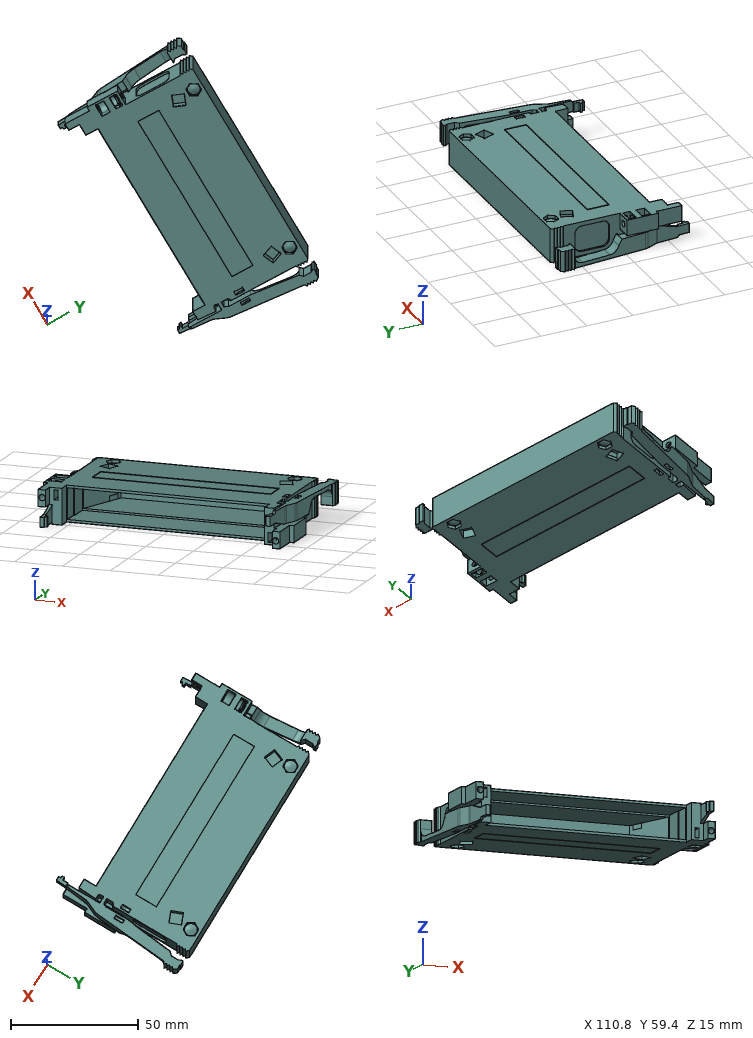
import cadquery as cq
import math


HEIGHT = 15.0
TOP = HEIGHT / 2
PLATE_LENGTH = 44.7
CHEEK_LENGTH = 50.2
SIDE = 45.8

REAR_CHAMFER = 1.1
GRIP_PITCH = 1.3
GRIP_DEPTH = 0.8
GRIP_TEETH = 4
CHEEK_INNER = 42.4
CHEEK_OUTER_REAR = 46.8
CHEEK_OUTER_FRONT = 46.4
HINGE_POCKET_X = 44.5
HINGE_POCKET_REAR = 35.1
HINGE_POCKET_FRONT = 42.2
POCKET_CORNER = 0.5

MOUTH_HALF_WIDTH = 42.1
MOUTH_HALF_HEIGHT = 6.4
MOUTH_DEPTH = 15.5
MOUTH_WIDE_DEPTH = 6.6
CAVITY_HALF_WIDTH = 41.6
CAVITY_HALF_HEIGHT = 5.6
CAVITY_REAR = 8.6
CAVITY_REAR_HALF_WIDTH = 33.0
CAVITY_TAPER = 21.5

LABEL_HALF_WIDTH = 37.3
LABEL_REAR = 20.2
LABEL_FRONT = 29.6
LABEL_DEPTH = 0.2
HEX_X = 38.0
HEX_Y = 4.0
HEX_ACROSS_CORNERS = 6.0
HEX_DEPTH = 1.4
DOME_DIAMETER = 5.0
DOME_HEIGHT = 0.9
SQUARE_X = 37.1
SQUARE_Y = 11.3
SQUARE_SIZE = 5.0
SQUARE_DEPTH = 3.8
SIDE_PANEL_REAR = 10.6
SIDE_PANEL_FRONT = 25.7
SIDE_PANEL_HALF_HEIGHT = 5.6
SIDE_PANEL_RADIUS = 3.1
SIDE_PANEL_DEPTH = 0.9

EAR_TOP = -0.5
HINGE_POCKET_FLOOR = 0.0
EAR_REAR = 30.2
EAR_OUTER = 52.4
EAR_SHOULDER = 44.0
EAR_TONGUE_INNER = 47.5
EAR_TONGUE_OUTER = 50.6
EAR_FRONT = 54.9
SCREW_X = 48.8
SCREW_Z = -4.3
SCREW_DIAMETER = 2.5
SCREW_BORE_DIAMETER = 5.0
SCREW_POCKET_WIDTH = 5.3
SCREW_POCKETS = (
    (31.5, 32.3, 2.7),
    (32.8, 33.4, 2.7),
    (33.4, 34.4, 2.4),
    (37.1, 40.8, 2.7),
)
SCREW_RIB_DROP = 1.1
CATCH_INNER = 44.0
CATCH_OUTER = 45.6
CATCH_DEPTH = 4.4

LEVER_BOTTOM = 0.2
LEVER_INNER = 47.5
LEVER_OUTER = 55.4
HINGE_WEB_REAR = 38.5
HINGE_WEB_FRONT = 40.0
HINGE_WEB_OVERLAP = 0.5
HINGE_FLARE_WIDTH = 0.8
HINGE_FLARE_LENGTH = 1.5
LATCH_BOTTOM = 2.5
LATCH_TOP = 6.5
LATCH_TAPER_START = 46.0
LATCH_TAPER_END = 53.5
LATCH_TIP = 59.4
LATCH_STEP_LENGTH = 0.9
LATCH_INNER = 46.8
LATCH_TIP_INNER = 46.5
HOOK_TIP = 45.6
HOOK_REAR = 57.3
HOOK_FRONT = 58.1
HOOK_ROOT_FRONT = 58.5
FINGER_PAD_LENGTH = 6.4
FINGER_PAD_BOTTOM = -1.4
FINGER_BAR_BOTTOM = 5.8
FINGER_HOLLOW_RADIUS = 3.5
FINGER_RAMP_START = 22.4
FINGER_RAMP_MIDDLE = (26.5, 2.7)
FINGER_RAMP_END = 27.9
LEVER_GRIP_START = 1.8

PIN_SLOT_CENTRE = 30.1
PIN_SLOT_DIAMETER = 3.9
HOOD_PIN_SLOT = (43.3, 44.8)
LEVER_TOP_PIN_SLOT = (48.4, 49.7)
LEVER_LOWER_PIN_SLOT = (LEVER_INNER, 48.7)


def box(x0, x1, y0, y1, z0, z1):
    """Box between two opposite corners."""
    return cq.Workplane("XY").box(x1 - x0, y1 - y0, z1 - z0, centered=False).translate((x0, y0, z0))


def prism(points, z0, z1):
    """Plan outline extruded between two heights."""
    return cq.Workplane("XY").workplane(offset=z0).polyline(points).close().extrude(z1 - z0)


def half_turn(shape):
    """Copy of a shape turned by 180 degrees about the Y axis."""
    return shape.rotate((0, 0, 0), (0, 1, 0), 180)


def mirrored_outline(right_side):
    """Full plan outline from its +X side."""
    return right_side + [(-x, y) for x, y in reversed(right_side)]


def grip_teeth(tip_x, start_y):
    """Zigzag of pointed teeth running along y from a first tip."""
    points = []
    for tooth in range(GRIP_TEETH):
        tip_y = start_y + tooth * GRIP_PITCH
        points.append((tip_x, tip_y))
        points.append((tip_x - GRIP_DEPTH, tip_y + GRIP_PITCH / 2))
    return points


def hood_blank():
    """Solid hood with grips, hinge pockets and cheeks, before hollowing."""
    grip_tip = SIDE + GRIP_DEPTH
    corner = POCKET_CORNER
    side = [(grip_tip - REAR_CHAMFER, 0)]
    side += grip_teeth(grip_tip, REAR_CHAMFER)
    side += [
        (SIDE, HINGE_POCKET_REAR),
        (HINGE_POCKET_X + corner, HINGE_POCKET_REAR),
        (HINGE_POCKET_X, HINGE_POCKET_REAR + corner),
        (HINGE_POCKET_X, HINGE_POCKET_FRONT - corner),
        (HINGE_POCKET_X + corner, HINGE_POCKET_FRONT),
        (CHEEK_OUTER_REAR, HINGE_POCKET_FRONT),
        (CHEEK_OUTER_FRONT, CHEEK_LENGTH),
        (CHEEK_INNER, CHEEK_LENGTH),
        (CHEEK_INNER, PLATE_LENGTH),
    ]
    return prism(mirrored_outline(side), -TOP, TOP)


def cavity():
    """Hollow that narrows towards the rear, with a larger stretch at the mouth."""
    taper_length = (CAVITY_HALF_WIDTH - CAVITY_REAR_HALF_WIDTH) / math.tan(math.radians(CAVITY_TAPER))
    side = [
        (CAVITY_REAR_HALF_WIDTH, CAVITY_REAR),
        (CAVITY_HALF_WIDTH, CAVITY_REAR + taper_length),
        (CAVITY_HALF_WIDTH, PLATE_LENGTH),
    ]
    inside = prism(mirrored_outline(side), -CAVITY_HALF_HEIGHT, CAVITY_HALF_HEIGHT)
    tall = box(-CAVITY_HALF_WIDTH, CAVITY_HALF_WIDTH, PLATE_LENGTH - MOUTH_DEPTH, PLATE_LENGTH,
               -MOUTH_HALF_HEIGHT, MOUTH_HALF_HEIGHT)
    wide = box(-MOUTH_HALF_WIDTH, MOUTH_HALF_WIDTH, PLATE_LENGTH - MOUTH_WIDE_DEPTH, PLATE_LENGTH,
               -MOUTH_HALF_HEIGHT, MOUTH_HALF_HEIGHT)
    return inside.union(tall).union(wide)


def plate_recesses():
    """Label panel, domed hexagons and tilted squares sunk into the upper plate."""
    cuts = box(-LABEL_HALF_WIDTH, LABEL_HALF_WIDTH, LABEL_REAR, LABEL_FRONT, TOP - LABEL_DEPTH, TOP)
    for sign in (-1, 1):
        floor = TOP - HEX_DEPTH
        hexagon = cq.Workplane("XY").polygon(6, HEX_ACROSS_CORNERS).extrude(HEX_DEPTH).translate((0, 0, floor))
        dome = cq.Solid.makeCone(DOME_DIAMETER / 2, 0, DOME_HEIGHT, cq.Vector(0, 0, floor))
        cuts = cuts.union(hexagon.cut(cq.Workplane(dome)).translate((sign * HEX_X, HEX_Y, 0)))
        square = cq.Workplane("XY").rect(SQUARE_SIZE, SQUARE_SIZE).extrude(SQUARE_DEPTH)
        square = square.rotate((0, 0, 0), (0, 0, 1), -sign * CAVITY_TAPER)
        cuts = cuts.union(square.translate((sign * SQUARE_X, SQUARE_Y, TOP - SQUARE_DEPTH)))
    return cuts


def side_panel():
    """Shallow rounded recess in the hood side behind the lever finger bar."""
    panel = box(SIDE - SIDE_PANEL_DEPTH, SIDE, SIDE_PANEL_REAR, SIDE_PANEL_FRONT,
                -SIDE_PANEL_HALF_HEIGHT, SIDE_PANEL_HALF_HEIGHT)
    return panel.edges("|X").fillet(SIDE_PANEL_RADIUS)


def pin_slot(x_range, z):
    """Disc-shaped cutter across X."""
    x0, x1 = x_range
    disc = cq.Workplane("YZ").circle(PIN_SLOT_DIAMETER / 2).extrude(x1 - x0)
    return disc.translate((x0, PIN_SLOT_CENTRE, z))


def screw_ear():
    """Ear with its tongue, and the low block that floors the hinge pocket."""
    plinth = box(HINGE_POCKET_X, SIDE, HINGE_POCKET_REAR, HINGE_POCKET_FRONT, EAR_TOP, HINGE_POCKET_FLOOR)
    ear_block = prism([
        (HINGE_POCKET_X, EAR_REAR),
        (EAR_OUTER, EAR_REAR),
        (EAR_OUTER, EAR_SHOULDER),
        (EAR_TONGUE_OUTER, EAR_SHOULDER),
        (EAR_TONGUE_OUTER, EAR_FRONT),
        (EAR_TONGUE_INNER, EAR_FRONT),
        (EAR_TONGUE_INNER, CHEEK_LENGTH),
        (HINGE_POCKET_X, CHEEK_LENGTH),
    ], -TOP, EAR_TOP)
    return ear_block.union(plinth)


def screw_ear_cuts():
    """Screw hole along y with its bore, round-bottomed pockets and the catch for a mating latch."""
    half_width = SCREW_POCKET_WIDTH / 2
    hole = cq.Workplane("XZ").circle(SCREW_DIAMETER / 2).extrude(-(EAR_FRONT - EAR_REAR))
    cuts = hole.translate((SCREW_X, EAR_REAR, SCREW_Z))
    bore_rear, bore_front = SCREW_POCKETS[0][0], SCREW_POCKETS[-1][1]
    bore = cq.Workplane("XZ").circle(SCREW_BORE_DIAMETER / 2).extrude(bore_rear - bore_front)
    cuts = cuts.union(bore.translate((SCREW_X, bore_rear, SCREW_Z)))
    for rear, front, radius in SCREW_POCKETS:
        trough = cq.Workplane("XZ").circle(radius).extrude(rear - front).translate((SCREW_X, rear, SCREW_Z))
        opening = box(SCREW_X - half_width, SCREW_X + half_width, rear, front, -TOP, SCREW_Z)
        cuts = cuts.union(trough).union(opening)
    rib_rear, rib_front = SCREW_POCKETS[0][1], SCREW_POCKETS[1][0]
    cuts = cuts.union(box(SCREW_X - half_width, SCREW_X + half_width, rib_rear, rib_front,
                          -TOP, -TOP + SCREW_RIB_DROP))
    catch = box(CATCH_INNER, CATCH_OUTER, CHEEK_LENGTH - CATCH_DEPTH, CHEEK_LENGTH, -LATCH_TOP, -LATCH_BOTTOM)
    return cuts.union(catch)


def lever_plan():
    """Plan outline of the lever: finger pad, grip teeth, leaning bar and hooked latch."""
    pad = [(50.5, 0), (52.4, 0), (52.6, 0.3), (54.4, 0.3)]
    pad += grip_teeth(LEVER_OUTER, LEVER_GRIP_START)
    outer = [(54.4, 6.9), (51.7, 38.5), (51.4, 39.9), (49.4, 44.4), (49.2, 45.1)]
    latch = [
        (48.2, LATCH_TIP),
        (LATCH_TIP_INNER, LATCH_TIP),
        (LATCH_TIP_INNER, HOOK_ROOT_FRONT),
        (HOOK_TIP, HOOK_FRONT),
        (HOOK_TIP, HOOK_REAR),
        (LATCH_INNER, HOOK_REAR),
        (LATCH_INNER, EAR_FRONT),
        (LEVER_INNER, EAR_FRONT),
    ]
    inner = [(LEVER_INNER, 26.9), (49.7, 6.4), (51.0, 5.1), (51.0, 1.8), (50.5, 0.9)]
    return pad + outer + latch + inner


def lever_profile():
    """Side profile of the lever in y and z, extruded across the whole lever."""
    hollow = FINGER_HOLLOW_RADIUS
    hollow_mid = hollow * (1 - math.sqrt(0.5))
    profile = (
        cq.Workplane("YZ")
        .moveTo(0, TOP)
        .lineTo(0, FINGER_PAD_BOTTOM)
        .lineTo(FINGER_PAD_LENGTH, FINGER_PAD_BOTTOM)
        .lineTo(FINGER_PAD_LENGTH, FINGER_BAR_BOTTOM - hollow)
        .threePointArc((FINGER_PAD_LENGTH + hollow_mid, FINGER_BAR_BOTTOM - hollow_mid),
                       (FINGER_PAD_LENGTH + hollow, FINGER_BAR_BOTTOM))
        .lineTo(FINGER_RAMP_START, FINGER_BAR_BOTTOM)
        .tangentArcPoint(FINGER_RAMP_MIDDLE, relative=False)
        .lineTo(FINGER_RAMP_END, LEVER_BOTTOM)
        .lineTo(LATCH_TAPER_START, LEVER_BOTTOM)
        .lineTo(LATCH_TAPER_END, LATCH_BOTTOM)
        .lineTo(LATCH_TIP, LATCH_BOTTOM)
        .lineTo(LATCH_TIP, LATCH_TOP)
        .lineTo(EAR_FRONT, LATCH_TOP)
        .lineTo(EAR_FRONT - LATCH_STEP_LENGTH, TOP)
        .close()
    )
    return profile.extrude(LEVER_OUTER)


def lever():
    """Latching lever with the thin web that joins it to the hood."""
    arm = prism(lever_plan(), -TOP, TOP).intersect(lever_profile())
    web = prism([
        (HINGE_POCKET_X - HINGE_WEB_OVERLAP, HINGE_WEB_REAR),
        (LEVER_INNER - HINGE_FLARE_WIDTH, HINGE_WEB_REAR),
        (LEVER_INNER, HINGE_WEB_REAR - HINGE_FLARE_LENGTH),
        (LEVER_INNER + HINGE_WEB_OVERLAP, HINGE_WEB_REAR - HINGE_FLARE_LENGTH),
        (LEVER_INNER + HINGE_WEB_OVERLAP, HINGE_WEB_FRONT),
        (HINGE_POCKET_X - HINGE_WEB_OVERLAP, HINGE_WEB_FRONT),
    ], LEVER_BOTTOM, TOP)
    arm = arm.union(web)
    arm = arm.cut(pin_slot(LEVER_TOP_PIN_SLOT, TOP))
    return arm.cut(pin_slot(LEVER_LOWER_PIN_SLOT, LEVER_BOTTOM))


def both_sides(shape):
    """A +X feature together with its half-turn copy."""
    return shape.union(half_turn(shape))


hood = hood_blank().cut(cavity())
hood = hood.cut(both_sides(plate_recesses()))
hood = hood.cut(both_sides(side_panel()))
hood = hood.union(both_sides(screw_ear()))
hood = hood.cut(both_sides(screw_ear_cuts()))
hood = hood.cut(both_sides(pin_slot(HOOD_PIN_SLOT, TOP)))
hood = hood.union(both_sides(lever()))

result = hood.mirror("XZ")